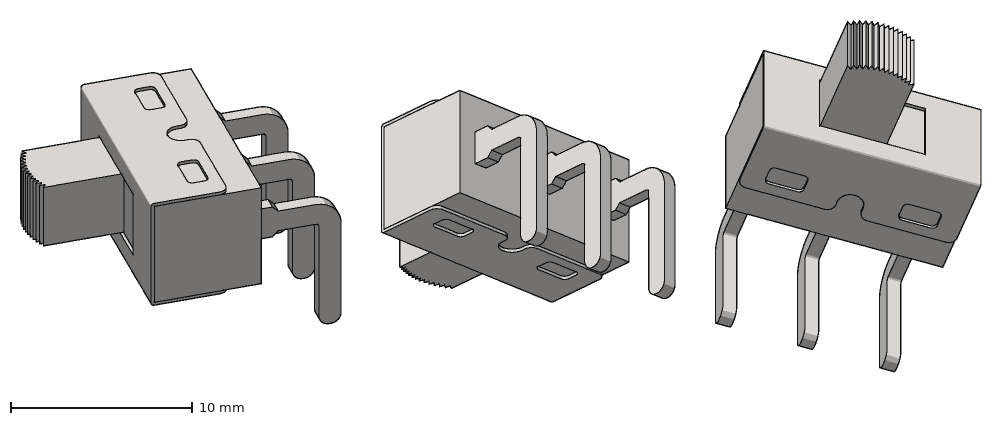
import cadquery as cq
import math


base_width = 12.71
base_height = 6.31
base_back = 6.4

sheet = 0.2
frame_depth = 4.5
frame_corner_radius = 0.5
frame_top = base_height / 2 + sheet
notch_depth = 1.5
notch_radius = 0.75
notch_corner_radius = 0.5
window_width = 6.2
window_height = 4.0
slot_length = 2.25
slot_width = 1.2
slot_corner_radius = 0.3
slot_offset = 3.9
slot_center_y = 3.21

slider_width = 3.9
slider_height = 3.85
slider_reach = 5.0
slider_side_gap = 0.05
tip_arc_radius = 3.9
tooth_depth = 0.28
left_teeth = 6
right_teeth = 7

terminal_pitch = 4.8
terminal_thickness = 0.8
terminal_reach = 5.0
leg_width = 1.3
root_height = 1.97
root_length = 1.02
bend_outer_radius = 1.5
leg_end_radius = 0.6
overall_height = 10.7


def make_flange_outline():
    """Outline of the flange beside the base, with a round notch in its back edge."""
    half = base_width / 2
    shoulder = notch_radius + notch_corner_radius
    notch_floor = frame_depth - notch_depth
    shoulder_y = frame_depth - notch_corner_radius
    arc_y = notch_floor + notch_radius
    diagonal = notch_corner_radius * (1 - math.sqrt(0.5))
    return (
        cq.Workplane("XY")
        .moveTo(-half, 0)
        .lineTo(half, 0)
        .lineTo(half, frame_depth)
        .lineTo(shoulder, frame_depth)
        .threePointArc(
            (notch_radius + diagonal, frame_depth - diagonal),
            (notch_radius, shoulder_y),
        )
        .lineTo(notch_radius, arc_y)
        .threePointArc((0, notch_floor), (-notch_radius, arc_y))
        .lineTo(-notch_radius, shoulder_y)
        .threePointArc(
            (-notch_radius - diagonal, frame_depth - diagonal),
            (-shoulder, frame_depth),
        )
        .lineTo(-half, frame_depth)
        .close()
    )


def make_flange():
    """Upper flange with rounded back corners and two round-cornered slots."""
    flange = make_flange_outline().extrude(sheet)
    back_corners = cq.selectors.BoxSelector(
        (-base_width, frame_depth - sheet, -sheet),
        (base_width, frame_depth + sheet, 2 * sheet),
    )
    side_corners = flange.edges("|Z").edges(back_corners).edges("<X or >X")
    flange = side_corners.fillet(frame_corner_radius)
    slots = (
        cq.Workplane("XY")
        .pushPoints([(-slot_offset, slot_center_y), (slot_offset, slot_center_y)])
        .rect(slot_length, slot_width)
        .extrude(sheet)
        .edges("|Z")
        .fillet(slot_corner_radius)
    )
    return flange.cut(slots).translate((0, 0, base_height / 2))


def make_frame():
    """Front plate with the slider window, joined to two mirrored flanges."""
    plate = cq.Workplane("XY").box(base_width, sheet, 2 * frame_top).translate((0, sheet / 2, 0))
    flange = make_flange()
    frame = plate.union(flange).union(flange.mirror("XY"))
    frame = frame.faces("<Y").edges("|X").fillet(sheet)
    window = cq.Workplane("XY").box(window_width, 4 * sheet, window_height)
    return frame.cut(window)


def make_block():
    """Plain block that fills the frame and stands out behind it."""
    depth = base_back - sheet
    return cq.Workplane("XY").box(base_width, depth, base_height).translate((0, sheet + depth / 2, 0))


def arc_point(radius, angle):
    """Point at an angle from the slider axis, about the centre of the tip arc."""
    return (radius * math.sin(angle), tip_arc_radius - slider_reach - radius * math.cos(angle))


def make_slider():
    """Slider stem whose rounded front end is cut into radial teeth."""
    half = slider_width / 2
    edge_angle = math.asin(half / tip_arc_radius)
    tips = [-edge_angle + i * edge_angle / left_teeth for i in range(left_teeth)]
    tips += [i * edge_angle / right_teeth for i in range(right_teeth + 1)]
    points = [arc_point(tip_arc_radius, tips[0])]
    for start, end in zip(tips, tips[1:]):
        points.append(arc_point(tip_arc_radius - tooth_depth, (start + end) / 2))
        points.append(arc_point(tip_arc_radius, end))
    points += [(half, sheet), (-half, sheet)]
    center_x = -window_width / 2 + slider_side_gap + half
    return (
        cq.Workplane("XY")
        .polyline(points)
        .close()
        .extrude(slider_height / 2, both=True)
        .translate((center_x, 0, 0))
    )


def make_terminal(center_x):
    """Terminal with a wide tapered root, a right-angle bend and a rounded end."""
    taper = (root_height - leg_width) / 2
    root_end = base_back + root_length
    leg_back = base_back + terminal_reach
    leg_front = leg_back - leg_width
    leg_bottom = frame_top - overall_height
    profile = [
        (base_back, root_height / 2),
        (root_end, root_height / 2),
        (root_end + taper, leg_width / 2),
        (leg_back, leg_width / 2),
        (leg_back, leg_bottom),
        (leg_front, leg_bottom),
        (leg_front, -leg_width / 2),
        (root_end + taper, -leg_width / 2),
        (root_end, -root_height / 2),
        (base_back, -root_height / 2),
    ]
    terminal = cq.Workplane("YZ").polyline(profile).close().extrude(terminal_thickness / 2, both=True)
    outer_corner = cq.selectors.NearestToPointSelector((0, leg_back, leg_width / 2))
    inner_corner = cq.selectors.NearestToPointSelector((0, leg_front, -leg_width / 2))
    terminal = terminal.edges("|X").edges(outer_corner).fillet(bend_outer_radius)
    terminal = terminal.edges("|X").edges(inner_corner).fillet(bend_outer_radius - leg_width)
    terminal = terminal.faces("<Z").edges("|X").fillet(leg_end_radius)
    return terminal.translate((center_x, 0, 0))


def make_base():
    """Block, slider and terminals as one solid."""
    base = make_block().union(make_slider())
    for position in (-1, 0, 1):
        base = base.union(make_terminal(position * terminal_pitch))
    return base


frame = make_frame()
base = make_base()
result = cq.Compound.makeCompound([frame.val(), base.val()])